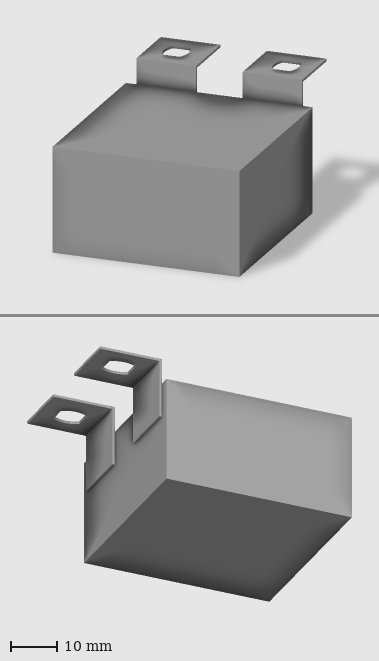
import cadquery as cq

case_width = 43.5
overall_depth = 58.8
overall_height = 30.41
tab_reach = 14.65
tab_rise = 6.01
case_depth = overall_depth - tab_reach
case_height = overall_height - tab_rise

tab_width = 13.9
tab_thickness = 0.6
tab_drop = 14.1
tab_pitch = 24.7

hole_pitch = 25.6
hole_length = 6.15
hole_width = 5.7
hole_end_width = 4.0
hole_y = tab_reach / 2


def make_case():
    return (
        cq.Workplane("XY", origin=(0, -case_depth, 0))
        .box(case_width, case_depth, case_height, centered=(True, False, False))
    )


def make_hole_cutter(x):
    half_length = hole_length / 2
    half_width = hole_width / 2
    half_end = hole_end_width / 2
    return (
        cq.Workplane("XY", origin=(x, hole_y, overall_height - tab_thickness))
        .moveTo(-half_end, -half_length)
        .lineTo(half_end, -half_length)
        .threePointArc((half_width, 0), (half_end, half_length))
        .lineTo(-half_end, half_length)
        .threePointArc((-half_width, 0), (-half_end, -half_length))
        .close()
        .extrude(tab_thickness)
    )


def make_terminal(side):
    """L-shaped terminal; side is -1 for the one at -X and +1 for the one at +X."""
    bracket = (
        cq.Workplane("YZ", origin=(side * tab_pitch / 2, 0, overall_height))
        .polyline([
            (0, 0),
            (tab_reach, 0),
            (tab_reach, -tab_thickness),
            (tab_thickness, -tab_thickness),
            (tab_thickness, -tab_drop),
            (0, -tab_drop),
        ])
        .close()
        .extrude(tab_width / 2, both=True)
    )
    return bracket.cut(make_hole_cutter(side * hole_pitch / 2))


case = make_case()
terminals = [make_terminal(side) for side in (-1, 1)]

result = cq.Compound.makeCompound([case.val(), *[terminal.val() for terminal in terminals]])